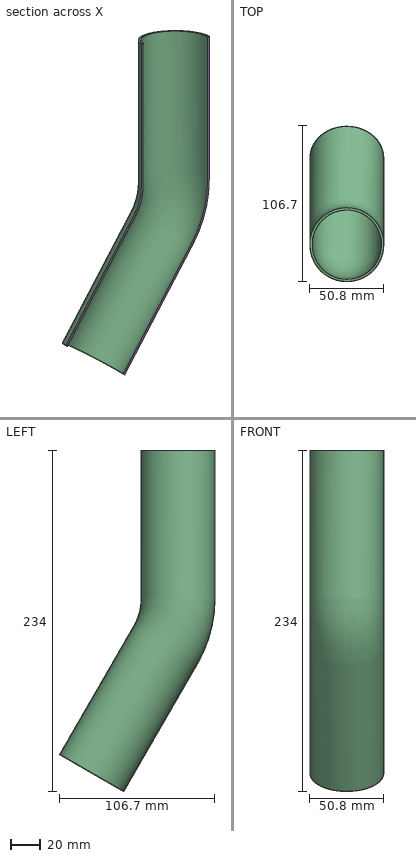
import cadquery as cq
import math

outer_diameter = 50.8
inner_diameter = 47.5

leg_length = 101.5
bend_radius = 63.7
bend_angle = 30.0


def bend_point(angle):
    """Centreline point (Y, Z) after turning by angle degrees below the upper leg."""
    turn = math.radians(angle)
    return (
        bend_radius * (1 - math.cos(turn)),
        -bend_radius * math.sin(turn),
    )


bend_start = bend_point(0)
bend_middle = bend_point(bend_angle / 2)
bend_end = bend_point(bend_angle)

slope = math.radians(bend_angle)
lower_end = (
    bend_end[0] + leg_length * math.sin(slope),
    bend_end[1] - leg_length * math.cos(slope),
)

centreline = (
    cq.Workplane("YZ")
    .moveTo(0, leg_length)
    .lineTo(*bend_start)
    .threePointArc(bend_middle, bend_end)
    .lineTo(*lower_end)
)

result = (
    cq.Workplane("XY")
    .workplane(offset=leg_length)
    .circle(outer_diameter / 2)
    .circle(inner_diameter / 2)
    .sweep(centreline)
)